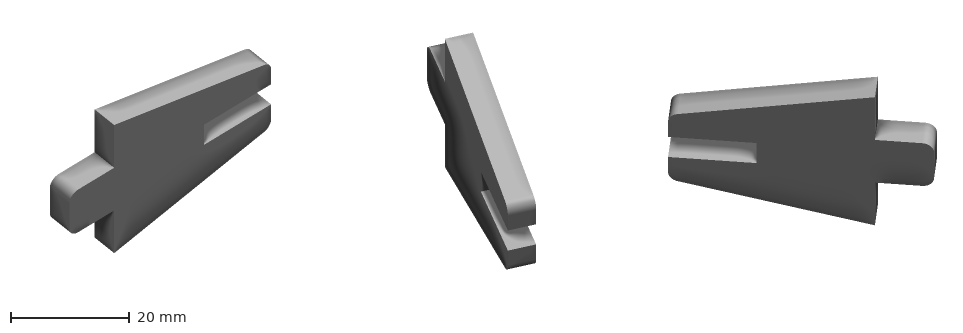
import cadquery as cq

thickness = 5.0
body_length = 35.0
tab_length = 10.0
wide_height = 30.0
narrow_height = 15.0

tab_height = 10.0
slot_length = 15.0
slot_width = 4.7
corner_radius = 2.0

total_length = body_length + tab_length
tab_end = -total_length / 2
shoulder = tab_end + tab_length
slotted_end = total_length / 2


def tapered_body():
    """Symmetric plate that narrows from the shoulder to the slotted end."""
    return (
        cq.Workplane("YZ")
        .moveTo(shoulder, -wide_height / 2)
        .lineTo(slotted_end, -narrow_height / 2)
        .lineTo(slotted_end, narrow_height / 2)
        .lineTo(shoulder, wide_height / 2)
        .close()
        .extrude(thickness / 2, both=True)
        .edges("|X and >Y")
        .fillet(corner_radius)
    )


def end_tab():
    """Rectangular tab on the shoulder, with its two outer corners rounded."""
    return (
        cq.Workplane("XY")
        .box(thickness, tab_length, tab_height)
        .translate((0, shoulder - tab_length / 2, 0))
        .edges("|X and <Y")
        .fillet(corner_radius)
    )


def end_slot():
    """Square-bottomed slot, open at the narrow end and cut through the thickness."""
    return (
        cq.Workplane("XY")
        .box(thickness, slot_length, slot_width)
        .translate((0, slotted_end - slot_length / 2, 0))
    )


result = tapered_body().union(end_tab()).cut(end_slot())